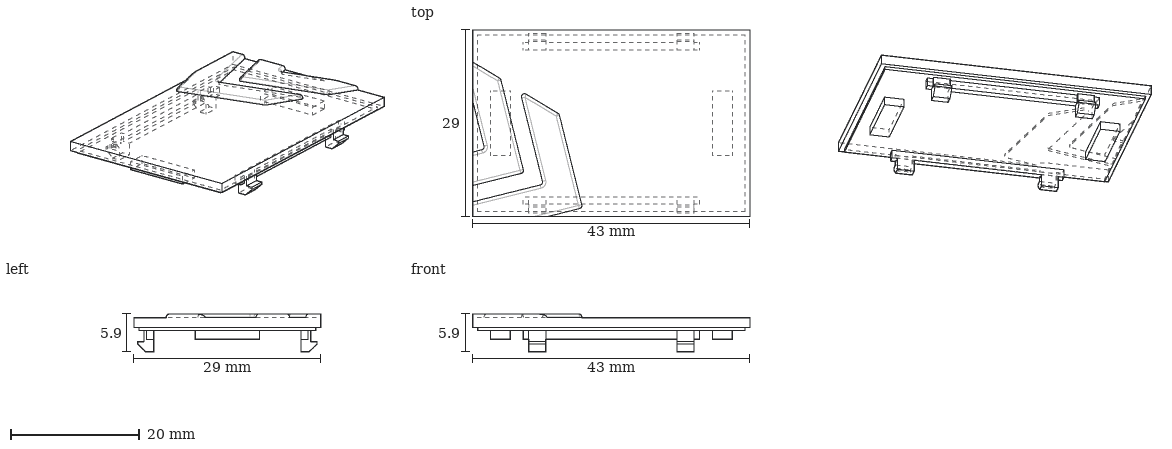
import cadquery as cq
import math

length = 43.0
width = 29.0
total_height = 5.9
chevron_height = 0.6
plate_thickness = 1.55
overlap = 0.1

lip_inset = 0.77
lip_thickness = 0.47
lip_bottom = -plate_thickness - lip_thickness

chevron_tilt = 14.0
chevron_band = 5.05
chevron_leg = 15.0
chevron_pitch = 7.5
chevron_round = 0.5
chevron_corner_radius = 0.47
chevron_reach = 25.8
first_corner_x = -4.47
first_corner_y = -13.1
chevron_count = 2

rib_height = 1.35
pad_size_x = 3.1
pad_size_y = 9.98
pad_center_x = 17.2
rail_length = 27.4
rail_inner_y = 11.4
rail_outer_y = 12.5

hook_inner_y = rail_inner_y
hook_width = 2.65
hook_center_x = 11.5
hook_stem_y = 12.95
hook_tip_y = 13.95
hook_foot_y = 12.7
hook_bottom = chevron_height - total_height
hook_shelf = -3.7
hook_tip_bottom = -4.1


def slab(size_x, size_y, bottom, height):
    """Block centred on the Z axis, standing on the given level."""
    return cq.Workplane("XY").workplane(offset=bottom).rect(size_x, size_y).extrude(height)


def chevron(index):
    """One raised chevron with rounded corners and top edges; its outer corner is the local origin."""
    tilt = math.radians(chevron_tilt)
    shift = index * chevron_pitch
    corner_x = first_corner_x - shift * (math.cos(tilt) + math.sin(tilt))
    corner_y = first_corner_y + shift * (math.cos(tilt) - math.sin(tilt))
    frame = cq.Plane(
        origin=(corner_x, corner_y, -overlap),
        xDir=(math.cos(tilt), math.sin(tilt), 0),
        normal=(0, 0, 1),
    )
    outline = [
        (0, 0),
        (0, chevron_leg),
        (-chevron_band, chevron_leg + chevron_band),
        (-chevron_band, chevron_band),
        (-chevron_reach, chevron_band),
        (-chevron_reach, 0),
    ]
    body = cq.Workplane(frame).polyline(outline).close().extrude(chevron_height + overlap)
    body = body.edges("|Z").fillet(chevron_corner_radius)
    return body.faces(">Z").edges().fillet(chevron_round)


def hook(center_x, side):
    """Snap hook profile in YZ, extruded along X; side is +1 or -1 along Y."""
    root = lip_bottom + overlap
    profile = [
        (hook_inner_y, root),
        (hook_stem_y, root),
        (hook_stem_y, hook_shelf),
        (hook_tip_y, hook_shelf),
        (hook_tip_y, hook_tip_bottom),
        (hook_foot_y, hook_bottom),
        (hook_inner_y, hook_bottom),
    ]
    points = [(side * y, z) for y, z in profile]
    plane = cq.Workplane("YZ", origin=(center_x, 0, 0))
    return plane.polyline(points).close().extrude(hook_width / 2, both=True)


plate = slab(length, width, -plate_thickness, plate_thickness)
lip = slab(length - 2 * lip_inset, width - 2 * lip_inset, lip_bottom, lip_thickness)
result = plate.union(lip)

plate_column = slab(length, width, -plate_thickness, plate_thickness + chevron_height)
for index in range(chevron_count):
    result = result.union(chevron(index).intersect(plate_column))

rib_bottom = lip_bottom - rib_height
pad = slab(pad_size_x, pad_size_y, rib_bottom, rib_height + overlap)
rail = slab(rail_length, rail_outer_y - rail_inner_y, rib_bottom, rib_height + overlap)
rail_center_y = (rail_outer_y + rail_inner_y) / 2
for side in (-1, 1):
    result = result.union(pad.translate((side * pad_center_x, 0, 0)))
    result = result.union(rail.translate((0, side * rail_center_y, 0)))
    for center_x in (-hook_center_x, hook_center_x):
        result = result.union(hook(center_x, side))